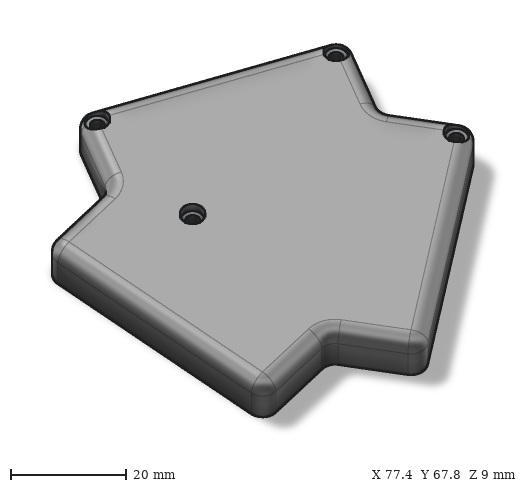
import cadquery as cq
import math

ARM_COUNT = 3
ARM_WIDTH = 50.0
ARM_REACH = 31.5
THICKNESS = 9.0
EDGE_RADIUS = 3.0

SCREW_HOLE_DIAMETER = 2.6
COUNTERBORE_DIAMETER = 4.4
COUNTERBORE_DEPTH = 2.0
INNER_HOLE = (-9.6, -10.0)

ARM_STEP = 360.0 / ARM_COUNT
FIRST_ARM_ANGLE = -90.0


def arm_point(arm_index, along, across):
    """Return the XY point given along and across the axis of one arm."""
    angle = math.radians(FIRST_ARM_ANGLE + arm_index * ARM_STEP)
    x = along * math.cos(angle) - across * math.sin(angle)
    y = along * math.sin(angle) + across * math.cos(angle)
    return (x, y)


def make_body():
    """Three-armed plate with rounded vertical edges and a rounded upper rim."""
    half_width = ARM_WIDTH / 2
    notch_along = half_width / math.tan(math.radians(ARM_STEP / 2))
    outline = []
    for arm in range(ARM_COUNT):
        outline.append(arm_point(arm, ARM_REACH, -half_width))
        outline.append(arm_point(arm, ARM_REACH, half_width))
        outline.append(arm_point(arm, notch_along, half_width))
    plate = cq.Workplane("XY").polyline(outline).close().extrude(THICKNESS)
    plate = plate.edges("|Z").fillet(EDGE_RADIUS)
    return plate.faces(">Z").edges().fillet(EDGE_RADIUS)


def screw_positions():
    """Three holes centred on arm corner rounds and one inside the plate."""
    along = ARM_REACH - EDGE_RADIUS
    across = ARM_WIDTH / 2 - EDGE_RADIUS
    right_arm = 1
    left_arm = 2
    return [
        arm_point(right_arm, along, across),
        arm_point(left_arm, along, -across),
        arm_point(left_arm, along, across),
        INNER_HOLE,
    ]


def cut_screw_holes(body):
    """Cut counterbored through holes from the upper face."""
    top = cq.Workplane("XY").workplane(offset=THICKNESS)
    points = screw_positions()
    through = top.pushPoints(points).circle(SCREW_HOLE_DIAMETER / 2).extrude(-THICKNESS)
    heads = top.pushPoints(points).circle(COUNTERBORE_DIAMETER / 2).extrude(-COUNTERBORE_DEPTH)
    return body.cut(through).cut(heads)


result = cut_screw_holes(make_body())